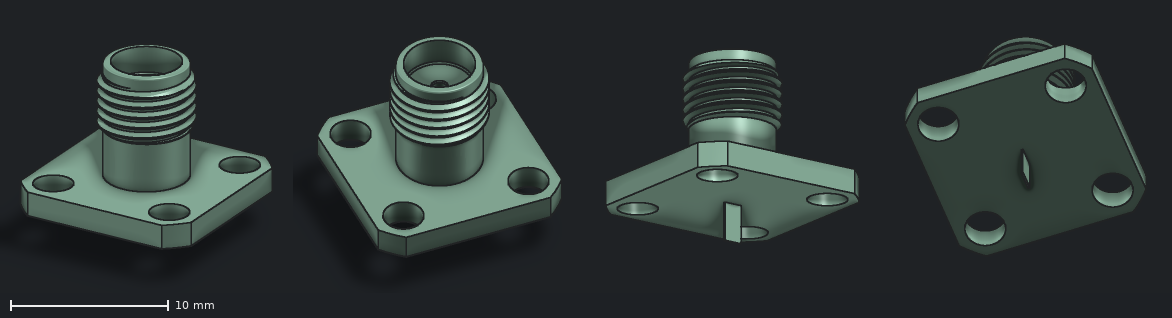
import cadquery as cq
import math

INCH = 25.4

flange_side = 0.5 * INCH
flange_thickness = 0.065 * INCH
flange_corner_diameter = 16.15
mounting_hole_diameter = 2.6
mounting_hole_pitch = 0.34 * INCH

body_top = 0.375 * INCH
rim_rounding = 0.15

thread_major_radius = 0.25 * INCH / 2
thread_pitch = INCH / 36
thread_flank_angle = math.radians(30)
thread_sharp_height = thread_pitch / 2 / math.tan(thread_flank_angle)
thread_depth = thread_sharp_height * 5 / 8
thread_crest_width = thread_pitch / 8
thread_root_gap = thread_pitch / 4
thread_top = body_top - 0.03 * INCH
thread_length = 0.15 * INCH
thread_bottom = thread_top - thread_length
thread_embed = 0.1
body_radius = thread_major_radius - thread_depth

socket_diameter = 4.57
socket_floor_diameter = 4.34
socket_depth = 0.075 * INCH
socket_floor = body_top - socket_depth

contact_diameter = 1.22
contact_mouth_diameter = 1.12
contact_bore_diameter = 0.94
contact_bore_depth = 2.5
contact_bottom = socket_floor - contact_bore_depth

plug_diameter = 1.41
plug_height = 3.24
plug_inner_y = -socket_floor_diameter / 2

tab_width = 0.05 * INCH
tab_thickness = 0.005 * INCH
tab_length = 0.1 * INCH


def cylinder(diameter, bottom, top):
    return cq.Workplane("XY").workplane(offset=bottom).circle(diameter / 2).extrude(top - bottom)


def frustum(bottom_diameter, top_diameter, top):
    """45 degree cone whose larger end lies at the height `top`."""
    height = (top_diameter - bottom_diameter) / 2
    cone = cq.Solid.makeCone(bottom_diameter / 2, top_diameter / 2, height)
    return cq.Workplane(cone).translate((0, 0, top - height))


def make_flange():
    plate = cq.Workplane("XY").rect(flange_side, flange_side).extrude(flange_thickness)
    plate = plate.intersect(cylinder(flange_corner_diameter, 0, flange_thickness))
    return (
        plate.faces(">Z").workplane(origin=(0, 0, 0))
        .rect(mounting_hole_pitch, mounting_hole_pitch, forConstruction=True)
        .vertices()
        .hole(mounting_hole_diameter)
    )


def make_barrel():
    barrel = cylinder(2 * body_radius, 0, body_top)
    return barrel.faces(">Z").edges().fillet(rim_rounding)


def make_thread():
    """Helical ridge, its ends trimmed by 45 degree cones that start at the barrel surface."""
    overrun = 2 * thread_pitch
    helix_bottom = thread_bottom - overrun
    helix_height = thread_length + 2 * overrun
    helix = cq.Wire.makeHelix(thread_pitch, helix_height, body_radius)

    half_crest = thread_crest_width / 2
    half_base = (thread_pitch - thread_root_gap) / 2
    half_embedded = half_base + thread_embed * math.tan(thread_flank_angle)
    inner_radius = body_radius - thread_embed
    ridge = (
        cq.Workplane("XZ")
        .moveTo(inner_radius, -half_embedded)
        .lineTo(thread_major_radius, -half_crest)
        .lineTo(thread_major_radius, half_crest)
        .lineTo(inner_radius, half_embedded)
        .close()
        .sweep(cq.Workplane(helix), isFrenet=True)
        .translate((0, 0, helix_bottom))
    )

    trim_width = 2 * thread_depth
    envelope = (
        cq.Workplane("XZ")
        .moveTo(0, thread_bottom)
        .lineTo(body_radius, thread_bottom)
        .lineTo(body_radius + trim_width, thread_bottom + trim_width)
        .lineTo(body_radius + trim_width, thread_top - trim_width)
        .lineTo(body_radius, thread_top)
        .lineTo(0, thread_top)
        .close()
        .revolve(360, (0, 0, 0), (0, 1, 0))
    )
    return ridge.intersect(envelope)


def make_socket_space():
    cone_top = socket_floor + (socket_diameter - socket_floor_diameter) / 2
    cone = frustum(socket_floor_diameter, socket_diameter, cone_top)
    return cylinder(socket_diameter, cone_top, body_top).union(cone)


def make_contact_blank():
    return cylinder(contact_diameter, contact_bottom, socket_floor)


def make_contact_bore():
    bore = cylinder(contact_bore_diameter, contact_bottom, socket_floor)
    mouth = frustum(contact_bore_diameter, contact_mouth_diameter, socket_floor)
    return bore.union(mouth)


def make_plug():
    pin = (
        cq.Workplane("XZ", origin=(0, plug_inner_y, plug_height))
        .circle(plug_diameter / 2)
        .extrude(body_radius)
    )
    return pin.intersect(cylinder(2 * body_radius, 0, thread_bottom))


def make_tab():
    return cq.Workplane("XY").rect(tab_width, tab_thickness).extrude(-tab_length)


def fuse_keeping_outline(part, insert):
    """Replace the material under `insert`, leaving its outline on the flush surface."""
    return part.cut(insert, clean=False).union(insert, clean=False)


connector = make_flange().union(make_barrel()).union(make_thread()).union(make_tab())
connector = connector.cut(make_socket_space())
connector = fuse_keeping_outline(connector, make_contact_blank().cut(make_contact_bore()))
connector = fuse_keeping_outline(connector, make_plug())
result = connector.cut(make_contact_bore(), clean=False)